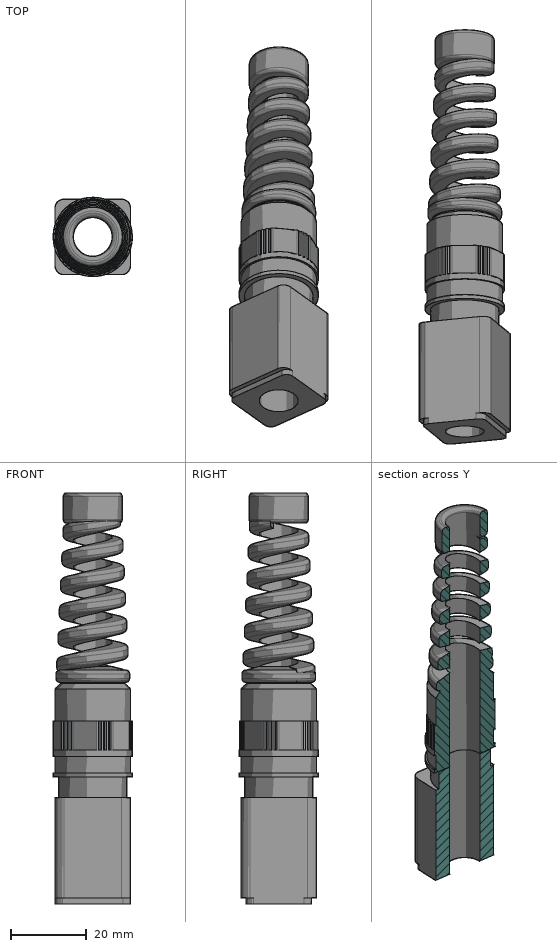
import cadquery as cq
import math

total_height = 108.7
lip_top = 1.6
block_top = 28.2
neck_top = 33.6
flange_top = 34.7
collar_bottom = 39.0
grip_bottom = 40.7
grip_top = 48.4
body_top = 58.3
ring_bottom = 58.6
ring_height = 3.3
ring_crown = 1.0
cap_height = 8.0

block_width = 20.0
block_corner = 2.4
lip_depth = 17.4
lip_corner = 2.1
neck_radius = 9.0
flange_radius = 10.49
body_radius = 10.0
groove_radius = 8.6
ring_radius = 9.8
cap_radius = 7.8
bore_radius = 5.1

cap_fillet = 1.0
cap_mouth_fillet = 1.2
coil_fillet = 1.1

flat_count = 6
flat_angle = 18.0
flat_distance = 10.0
grooves_per_group = 3
groove_step = 7.5
groove_width = 0.8
groove_depth = 0.3

coil_turns = 5.87
coil_pitch = 7.01
coil_rise = coil_turns * coil_pitch
coil_thickness = 3.4
coil_root_radius = 3.8
coil_draft = 10.0
coil_start_angle = 30.0
coil_start_radius = 9.7
coil_end_radius = 7.7
coil_bottom = 60.3


def cylinder(radius, bottom, top):
    return cq.Workplane("XY").workplane(offset=bottom).circle(radius).extrude(top - bottom)


def rounded_block(width, depth, corner, bottom, top):
    block = cq.Workplane("XY").workplane(offset=bottom).rect(width, depth).extrude(top - bottom)
    return block.edges("|Z").fillet(corner)


def make_housing():
    """Square block with a bottom lip and a round neck, bored through."""
    housing = rounded_block(block_width, block_width, block_corner, lip_top, block_top)
    housing = housing.union(rounded_block(block_width, lip_depth, lip_corner, 0, lip_top))
    housing = housing.union(cylinder(neck_radius, block_top, neck_top))
    return housing.cut(cylinder(bore_radius, 0, neck_top))


def make_grip():
    """Ring with flats and, between them, groups of narrow vertical grooves."""
    grip = cylinder(flange_radius, grip_bottom, grip_top)
    height = grip_top - grip_bottom
    flat_step = 360 / flat_count
    flats = (
        cq.Workplane("XY")
        .workplane(offset=grip_bottom)
        .polygon(flat_count, 2 * flat_distance / math.cos(math.pi / flat_count))
        .extrude(height)
        .rotate((0, 0, 0), (0, 0, 1), flat_angle + flat_step / 2)
    )
    grip = grip.intersect(flats)
    groove = (
        cq.Workplane("XY")
        .workplane(offset=grip_bottom)
        .moveTo(flange_radius - groove_depth, 0)
        .lineTo(flange_radius + groove_depth, groove_width)
        .lineTo(flange_radius + groove_depth, -groove_width)
        .close()
        .extrude(height)
    )
    for group in range(flat_count):
        group_angle = flat_angle + (group + 0.5) * flat_step
        for index in range(grooves_per_group):
            angle = group_angle + (index - (grooves_per_group - 1) / 2) * groove_step
            grip = grip.cut(groove.rotate((0, 0, 0), (0, 0, 1), angle))
    return grip


def make_body():
    """Gland body: flange, collar, grip and the coned shoulder with its groove."""
    shoulder = body_radius - groove_radius
    body = cylinder(body_radius, neck_top, body_top).faces(">Z").chamfer(shoulder)
    body = body.union(cylinder(flange_radius, neck_top, flange_top))
    body = body.union(cylinder(flange_radius, collar_bottom, grip_bottom))
    return body.union(make_grip())


def make_end_ring():
    """Rounded ring with a coned top, standing on a short core above the shoulder."""
    ring = cylinder(ring_radius, ring_bottom, ring_bottom + ring_height).edges().fillet(coil_fillet)
    core_top = ring_bottom + ring_height
    core = (
        cq.Workplane("XZ")
        .moveTo(0, body_top)
        .lineTo(groove_radius, body_top)
        .lineTo(groove_radius, core_top)
        .lineTo(bore_radius, core_top + ring_crown)
        .lineTo(0, core_top + ring_crown)
        .close()
        .revolve(360, (0, 0, 0), (0, 1, 0))
    )
    return ring.union(core)


def make_coil():
    """Right-handed coil whose radius shrinks towards the cap."""
    taper = math.degrees(math.atan((coil_start_radius - coil_end_radius) / coil_rise))
    path = cq.Wire.makeHelix(
        coil_pitch, coil_rise, coil_start_radius, cq.Vector(0, 0, 0), cq.Vector(0, 0, 1), -taper
    )
    tip = coil_thickness / 2
    root = tip + (coil_start_radius - coil_root_radius) * math.tan(math.radians(coil_draft))
    section = (
        cq.Sketch()
        .polygon([
            (coil_root_radius, -root),
            (coil_start_radius, -tip),
            (coil_start_radius, tip),
            (coil_root_radius, root),
            (coil_root_radius, -root),
        ])
        .vertices(">X")
        .fillet(coil_fillet)
    )
    coil = cq.Workplane("XZ").placeSketch(section).sweep(cq.Workplane(path), isFrenet=True)
    return coil.rotate((0, 0, 0), (0, 0, 1), coil_start_angle).translate((0, 0, coil_bottom))


def make_cap():
    """Plain sleeve at the upper end of the coil."""
    cap = cylinder(cap_radius, total_height - cap_height, total_height)
    return cap.edges().fillet(cap_fillet)


def make_bore():
    """Through bore of the gland, flared by a rounded mouth at the top."""
    mouth_center = total_height - cap_mouth_fillet
    bore = (
        cq.Workplane("XZ")
        .moveTo(0, neck_top)
        .lineTo(bore_radius, neck_top)
        .lineTo(bore_radius, mouth_center)
        .radiusArc((bore_radius + cap_mouth_fillet, total_height), cap_mouth_fillet)
        .lineTo(0, total_height)
        .close()
        .revolve(360, (0, 0, 0), (0, 1, 0))
    )
    return bore


def make_gland():
    gland = make_body().union(make_end_ring()).union(make_cap()).union(make_coil())
    return gland.cut(make_bore())


housing = make_housing()
gland = make_gland()
result = cq.Compound.makeCompound([housing.val(), *gland.vals()])